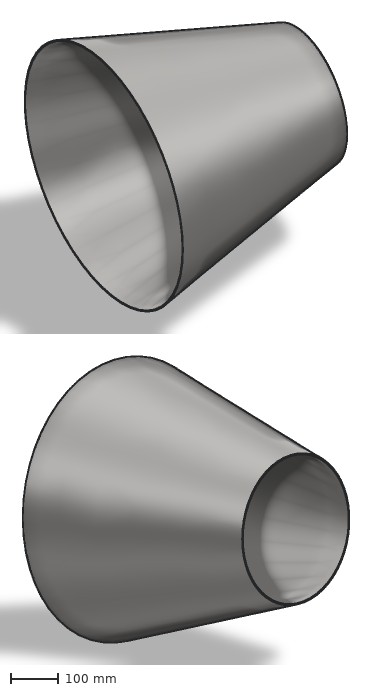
import cadquery as cq

large_diameter = 609.5
small_diameter = 324.0
length = 508.0
wall = 3.0

large_radius = large_diameter / 2
small_radius = small_diameter / 2

wall_section = [
    (large_radius - wall, 0),
    (large_radius, 0),
    (small_radius, length),
    (small_radius - wall, length),
]

result = (
    cq.Workplane("XY")
    .polyline(wall_section)
    .close()
    .revolve(360, (0, 0, 0), (0, 1, 0))
)